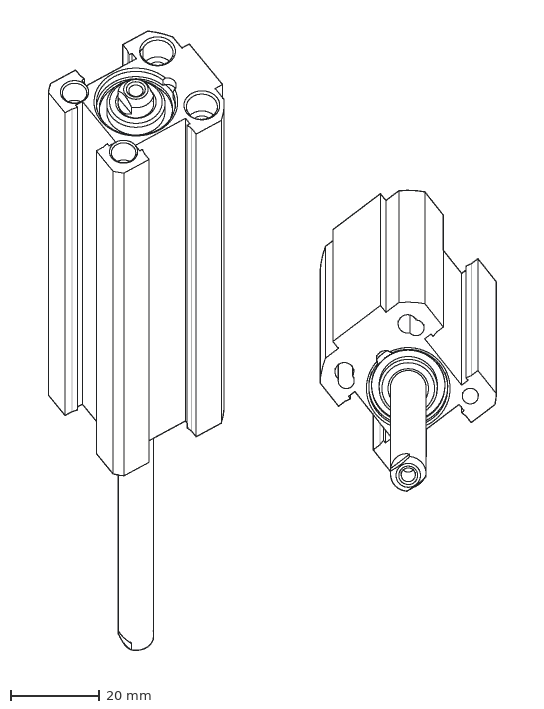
import cadquery as cq
import math


TOTAL_LENGTH = 213
HOUSING_LENGTH = 117.2
ROD_BELOW = 91.0

WIDTH = 30.0
DEPTH = 34
BACK_Y = 17.0
PAD_HALF_WIDTH = 6.8
CORNER_RADIUS = 20.0
HALF_WIDTH = WIDTH / 2
PAD_Y = DEPTH - HALF_WIDTH

SLOT_HALF_WIDTH = 6.4
SLOT_NARROWING = 0.32
SLOT_FLOOR = 10.0
SLOT_STRAIGHT = 2.0
SLOT_LIP = 3.2
UNDERCUT_HALF_WIDTH = 6.8

MOUNT_OFFSET = 10.0
MOUNT_DIAMETER = 3.6
MOUNT_BORE_DIAMETER = 5.5
MOUNT_MOUTH_DIAMETER = 6.4
BACK_HOLE_SPACING = 18.0
BACK_HOLE_Y = 12.0
BACK_HOLE_DIAMETER = 4.3
BACK_BORE_DIAMETER = 7.0
BACK_MOUTH_DIAMETER = 8.0
BORE_DEPTH = 7.0

BORE_DIAMETER = 16.0
SEAT_DIAMETER = 17.9
MOUTH_DIAMETER = 19.0
GROOVE_DIAMETER = 19.0
RING_INNER_DIAMETER = 16.6
RING_THICKNESS = 1.0
RING_DEPTH = 2.5
COLLAR_LENGTH = 8.5
BOSS_DIAMETER = 13.2
BOSS_TOP_DIAMETER = 12.0
BOSS_HEIGHT = 3.6
COLLAR_MOUTH_DIAMETER = 9.2
NOTCH_DIAMETER = 4.0
NOTCH_Y = 8.5

ROD_DIAMETER = 8.0
ROD_CHAMFER_LENGTH = 1.5
ROD_CHAMFER_DEPTH = 1.3
FLAT_WIDTH = 6.0
FLAT_LENGTH = 4.0
THREAD_DIAMETER = 3.2
THREAD_DEPTH = 10.6
COUNTERSINK_DIAMETER = 4.3
DRILL_TIP_ANGLE = 118

RING_BOTTOM = HOUSING_LENGTH - RING_DEPTH - RING_THICKNESS
SEAT_BOTTOM = RING_BOTTOM - COLLAR_LENGTH
ROD_BOTTOM = -ROD_BELOW
ROD_TOP = TOTAL_LENGTH - ROD_BELOW


def cylinder(diameter, bottom, height, x=0, y=0):
    return cq.Workplane("XY", origin=(x, y, bottom)).circle(diameter / 2).extrude(height)


def countersink(mouth_diameter, hole_diameter, top, x=0, y=0):
    """45-degree cone that widens a hole to the mouth diameter at height top."""
    mouth = mouth_diameter / 2
    hole = hole_diameter / 2
    cone = cq.Solid.makeCone(hole, mouth, mouth - hole, (x, y, top - (mouth - hole)))
    return cq.Workplane(cone)


def mirrored_to_lower_end(body):
    """The same body at the other end of the housing."""
    return body.mirror("XY", (0, 0, HOUSING_LENGTH / 2))


def housing_blank():
    """Extrusion with a raised back pad and corners rounded about the rod axis."""
    corner = CORNER_RADIUS * math.sqrt(0.5)
    side_end = math.sqrt(CORNER_RADIUS**2 - HALF_WIDTH**2)
    back_end = math.sqrt(CORNER_RADIUS**2 - BACK_Y**2)
    back_middle = (math.atan2(side_end, HALF_WIDTH) + math.atan2(BACK_Y, back_end)) / 2
    back_corner = (CORNER_RADIUS * math.cos(back_middle), CORNER_RADIUS * math.sin(back_middle))
    return (
        cq.Workplane("XY")
        .moveTo(0, -HALF_WIDTH)
        .lineTo(side_end, -HALF_WIDTH)
        .threePointArc((corner, -corner), (HALF_WIDTH, -side_end))
        .lineTo(HALF_WIDTH, side_end)
        .threePointArc(back_corner, (back_end, BACK_Y))
        .lineTo(PAD_HALF_WIDTH, BACK_Y)
        .lineTo(PAD_HALF_WIDTH, PAD_Y)
        .lineTo(0, PAD_Y)
        .mirrorY()
        .extrude(HOUSING_LENGTH)
    )


def slot():
    """Undercut slot in the front side, with lips that close in slightly toward the inside."""
    lip_end = SLOT_LIP - HALF_WIDTH
    half_profile = [
        (0, -HALF_WIDTH),
        (SLOT_HALF_WIDTH, -HALF_WIDTH),
        (SLOT_HALF_WIDTH, SLOT_STRAIGHT - HALF_WIDTH),
        (SLOT_HALF_WIDTH - SLOT_NARROWING, lip_end),
        (UNDERCUT_HALF_WIDTH, lip_end),
        (UNDERCUT_HALF_WIDTH, -SLOT_FLOOR),
        (0, -SLOT_FLOOR),
    ]
    return cq.Workplane("XY").polyline(half_profile).mirrorY().extrude(HOUSING_LENGTH)


def stepped_hole(x, y, diameter, bore_diameter, mouth_diameter):
    """Through hole with a wider bore from the top, chamfered at its mouth."""
    through = cylinder(diameter, 0, HOUSING_LENGTH, x, y)
    bore = cylinder(bore_diameter, HOUSING_LENGTH - BORE_DEPTH, BORE_DEPTH, x, y)
    mouth = countersink(mouth_diameter, bore_diameter, HOUSING_LENGTH, x, y)
    return through.union(bore).union(mouth)


def bore_end():
    """Collar seat, ring groove, chamfer and notch at the upper end of the cylinder bore."""
    seat = cylinder(SEAT_DIAMETER, SEAT_BOTTOM, HOUSING_LENGTH - SEAT_BOTTOM)
    groove = cylinder(GROOVE_DIAMETER, RING_BOTTOM, RING_THICKNESS)
    notch = cylinder(NOTCH_DIAMETER, HOUSING_LENGTH - RING_DEPTH, RING_DEPTH, 0, NOTCH_Y)
    mouth = countersink(MOUTH_DIAMETER, SEAT_DIAMETER, HOUSING_LENGTH)
    return seat.union(groove).union(mouth).union(notch)


def make_housing():
    body = housing_blank()
    for angle in (-90, 0, 90):
        body = body.cut(slot().rotate((0, 0, 0), (0, 0, 1), angle))

    for side in (-1, 1):
        x = side * MOUNT_OFFSET
        front_hole = stepped_hole(
            x, -MOUNT_OFFSET, MOUNT_DIAMETER, MOUNT_BORE_DIAMETER, MOUNT_MOUTH_DIAMETER
        )
        back_x = side * BACK_HOLE_SPACING / 2
        back_hole = stepped_hole(
            back_x, BACK_HOLE_Y, BACK_HOLE_DIAMETER, BACK_BORE_DIAMETER, BACK_MOUTH_DIAMETER
        )
        back_mount = cylinder(MOUNT_DIAMETER, 0, HOUSING_LENGTH, x, MOUNT_OFFSET)
        body = body.cut(front_hole).cut(back_hole).cut(back_mount)

    body = body.cut(cylinder(BORE_DIAMETER, 0, HOUSING_LENGTH))
    return body.cut(bore_end()).cut(mirrored_to_lower_end(bore_end()))


def make_collar():
    """Upper guide collar, with a chamfered boss that stands inside the retaining ring."""
    chamfer = (BOSS_DIAMETER - BOSS_TOP_DIAMETER) / 2
    boss = cylinder(BOSS_DIAMETER, RING_BOTTOM, BOSS_HEIGHT).faces(">Z").chamfer(chamfer)
    rod_hole = cylinder(ROD_DIAMETER, SEAT_BOTTOM, RING_BOTTOM + BOSS_HEIGHT - SEAT_BOTTOM)
    mouth = countersink(COLLAR_MOUTH_DIAMETER, ROD_DIAMETER, RING_BOTTOM + BOSS_HEIGHT)
    return cylinder(SEAT_DIAMETER, SEAT_BOTTOM, COLLAR_LENGTH).union(boss).cut(rod_hole).cut(mouth)


def make_ring():
    """Upper retaining ring."""
    return (
        cq.Workplane("XY", origin=(0, 0, RING_BOTTOM))
        .circle(GROOVE_DIAMETER / 2)
        .circle(RING_INNER_DIAMETER / 2)
        .extrude(RING_THICKNESS)
    )


def rod_end_cut():
    """Wrench flats and threaded hole at the upper rod end."""
    radius = ROD_DIAMETER / 2
    flat_y = FLAT_WIDTH / 2
    slope = radius - flat_y
    flat_bottom = ROD_TOP - FLAT_LENGTH
    flat_profile = [
        (flat_y, ROD_TOP),
        (flat_y, flat_bottom),
        (radius, flat_bottom - slope),
        (radius, ROD_TOP),
    ]
    flat = cq.Workplane("YZ").polyline(flat_profile).close().extrude(radius, both=True)

    hole_radius = THREAD_DIAMETER / 2
    sink_radius = COUNTERSINK_DIAMETER / 2
    hole_bottom = ROD_TOP - THREAD_DEPTH
    tip_depth = hole_radius / math.tan(math.radians(DRILL_TIP_ANGLE / 2))
    hole_profile = [
        (0, ROD_TOP),
        (sink_radius, ROD_TOP),
        (hole_radius, ROD_TOP - (sink_radius - hole_radius)),
        (hole_radius, hole_bottom),
        (0, hole_bottom - tip_depth),
    ]
    hole = cq.Workplane("XZ").polyline(hole_profile).close().revolve(360, (0, 0, 0), (0, 1, 0))
    return hole.union(flat).union(flat.mirror("XZ"))


def make_rod():
    radius = ROD_DIAMETER / 2
    end_radius = radius - ROD_CHAMFER_DEPTH
    half_profile = [
        (0, ROD_BOTTOM),
        (end_radius, ROD_BOTTOM),
        (radius, ROD_BOTTOM + ROD_CHAMFER_LENGTH),
        (radius, ROD_TOP - ROD_CHAMFER_LENGTH),
        (end_radius, ROD_TOP),
        (0, ROD_TOP),
    ]
    rod = cq.Workplane("XZ").polyline(half_profile).close().revolve(360, (0, 0, 0), (0, 1, 0))
    upper_cut = rod_end_cut()
    lower_cut = upper_cut.mirror("XY", (0, 0, (ROD_TOP + ROD_BOTTOM) / 2))
    return rod.cut(upper_cut).cut(lower_cut)


housing = make_housing()
rod = make_rod()
collars = [make_collar(), mirrored_to_lower_end(make_collar())]
rings = [make_ring(), mirrored_to_lower_end(make_ring())]

bodies = [housing, rod, *collars, *rings]
result = cq.Compound.makeCompound([body.val() for body in bodies])